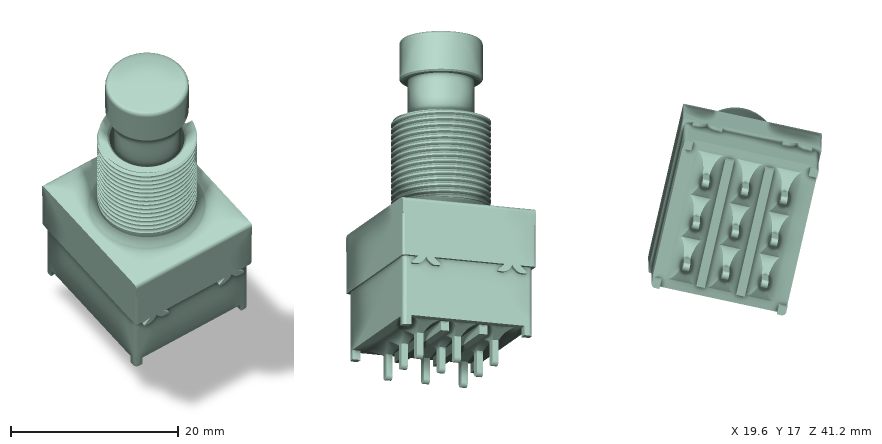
import cadquery as cq
import math


head_diameter = 10.0
head_height = 5.0
head_top_round = 0.5
head_bottom_chamfer = 0.2
stem_diameter = 8.0
button_top = 22.5

thread_diameter = 12.0
thread_pitch = 0.75
thread_depth = 0.35
thread_crest = 0.2
thread_root = 0.15
thread_start = 1.4
thread_start_angle = 215.0
bushing_height = 12.5
bushing_bore = 9.0
bore_chamfer = 0.25
shoulder_diameter = 12.0
shoulder_height = 1.55
flare_height = 1.0
flare_reach = 1.0
flare_sag = 0.1
keyway_width = 2.0
keyway_depth = 1.0

bracket_length = 19.6
bracket_width = 17.0
sheet = 0.5
skirt_depth = 2.0
strap_width = 2.0
strap_offset = 5.5
hook_drop = 0.95
hook_half_width = 1.8
hook_tip_height = 0.2
hook_foot_start = 1.0
hook_notch_sag = 0.15

upper_bottom = -7.2
upper_corner_round = 0.3
lower_length = bracket_length - 2 * sheet
lower_width = 16.5
lower_bottom = -14.5
lower_corner_round = 0.5
foot_size = 1.05
foot_height = 1.15
rail_length = 16.0
rail_offset = 2.45

pin_bottom = -18.7
pin_width = 1.0
pin_thickness = 0.8
pin_tip_round = 0.499 * pin_width
pin_spacing_x = 5.3
pin_spacing_y = 4.8
pin_count = 3
collar_height = 1.1
collar_half_length = 2.85
collar_half_width = 1.6
collar_sag_x = 0.02
collar_sag_y = 0.25


def block(length, width, bottom, top):
    """Box centred on the Z axis between two heights."""
    return (
        cq.Workplane("XY")
        .workplane(offset=bottom)
        .rect(length, width)
        .extrude(top - bottom)
    )


def disc(diameter, bottom, top):
    """Cylinder on the Z axis between two heights."""
    return cq.Workplane("XY").workplane(offset=bottom).circle(diameter / 2).extrude(top - bottom)


def sagged_midpoint(start, end, sag):
    """Middle of a shallow arc that bends away from its chord, to the left going from start to end."""
    run = end[0] - start[0]
    rise = end[1] - start[1]
    chord = math.hypot(run, rise)
    return (
        (start[0] + end[0]) / 2 - sag * rise / chord,
        (start[1] + end[1]) / 2 + sag * run / chord,
    )


def make_button():
    """Head on a plain stem that reaches down to the bracket plate."""
    head = disc(head_diameter, button_top - head_height, button_top)
    head = head.faces(">Z").edges().fillet(head_top_round)
    head = head.faces("<Z").edges().chamfer(head_bottom_chamfer)
    stem = disc(stem_diameter, 0, button_top - head_height)
    return head.union(stem)


def make_thread_ridge():
    """Right-hand helical ridge with a flat crest, sunk slightly into the bushing core."""
    crest = thread_diameter / 2
    root = crest - thread_depth
    embed = 0.1
    half_crest = thread_crest / 2
    half_base = (thread_pitch - thread_root) / 2
    flank_slope = (half_base - half_crest) / thread_depth
    half_sunk = half_base + flank_slope * embed
    helix = cq.Wire.makeHelix(thread_pitch, bushing_height - thread_start + thread_pitch, crest)
    ridge = (
        cq.Workplane("XZ")
        .moveTo(root - embed, -half_sunk)
        .lineTo(root - embed, half_sunk)
        .lineTo(crest, half_crest)
        .lineTo(crest, -half_crest)
        .close()
        .sweep(cq.Workplane(obj=helix), isFrenet=True)
    )
    ridge = ridge.rotate((0, 0, 0), (0, 0, 1), thread_start_angle)
    ridge = ridge.translate((0, 0, thread_start))
    envelope = disc(thread_diameter + 2 * embed, shoulder_height, bushing_height)
    return ridge.intersect(envelope)


def make_bushing():
    """Threaded, flared and bored bushing with a keyway on its +Y side."""
    radius = thread_diameter / 2
    root = radius - thread_depth
    flare_foot = (radius + flare_reach, 0)
    flare_top = (shoulder_diameter / 2, flare_height)
    body = (
        cq.Workplane("XZ")
        .lineTo(*flare_foot)
        .threePointArc(sagged_midpoint(flare_foot, flare_top, flare_sag), flare_top)
        .lineTo(shoulder_diameter / 2, shoulder_height)
        .lineTo(root, shoulder_height)
        .lineTo(root, bushing_height)
        .lineTo(0, bushing_height)
        .close()
        .revolve(360, (0, 0, 0), (0, 1, 0))
    )
    body = body.union(make_thread_ridge(), clean=False)
    keyway = block(keyway_width, 2 * keyway_depth, flare_height, bushing_height)
    body = body.cut(keyway.translate((0, radius, 0)), clean=False)
    bore = disc(bushing_bore, 0, bushing_height)
    mouth = (
        cq.Workplane("XY")
        .workplane(offset=bushing_height)
        .circle(bushing_bore / 2 + bore_chamfer)
        .workplane(offset=-bore_chamfer)
        .circle(bushing_bore / 2)
        .loft()
    )
    return body.cut(bore, clean=False).cut(mouth, clean=False)


def make_strap(y_centre):
    """Side strap ending in a split, spread hook, on the +X side."""
    hook_bottom = upper_bottom - hook_drop
    hook_shoulder = hook_bottom + hook_tip_height
    half = strap_width / 2
    notch_end = (hook_foot_start, hook_bottom)
    notch_x, notch_z = sagged_midpoint(notch_end, (0, upper_bottom), hook_notch_sag)
    return (
        cq.Workplane("YZ")
        .workplane(offset=bracket_length / 2 - sheet)
        .center(y_centre, 0)
        .moveTo(-half, -skirt_depth)
        .lineTo(-half, upper_bottom)
        .lineTo(-hook_half_width, hook_shoulder)
        .lineTo(-hook_half_width, hook_bottom)
        .lineTo(-hook_foot_start, hook_bottom)
        .threePointArc((-notch_x, notch_z), (0, upper_bottom))
        .threePointArc((notch_x, notch_z), notch_end)
        .lineTo(hook_half_width, hook_bottom)
        .lineTo(hook_half_width, hook_shoulder)
        .lineTo(half, upper_bottom)
        .lineTo(half, -skirt_depth)
        .close()
        .extrude(sheet)
    )


def make_bracket():
    """Folded plate with a skirt and two hooked straps on each X side."""
    bracket = block(bracket_length, bracket_width, -skirt_depth, 0)
    bracket = bracket.faces(">Z").edges("|Y").fillet(sheet)
    bracket = bracket.cut(block(lower_length, bracket_width, -skirt_depth, -sheet))
    for y_centre in (-strap_offset, strap_offset):
        strap = make_strap(y_centre)
        bracket = bracket.union(strap)
        bracket = bracket.union(strap.mirror("YZ"))
    return bracket


def make_upper_housing(bracket):
    """Upper housing that fills the bracket and lies flush with its straps."""
    housing = block(bracket_length, bracket_width, upper_bottom, -sheet)
    housing = housing.edges("|Z").fillet(upper_corner_round)
    return housing.cut(bracket)


def make_lower_housing():
    """Lower housing with four corner feet and two rails underneath."""
    feet_bottom = lower_bottom - foot_height
    housing = block(lower_length, lower_width, feet_bottom, upper_bottom)
    housing = housing.edges("|Z").fillet(lower_corner_round)
    gap_length = lower_length - 2 * foot_size
    gap_width = lower_width - 2 * foot_size
    housing = housing.cut(block(gap_length, lower_width, feet_bottom, lower_bottom))
    housing = housing.cut(block(lower_length, gap_width, feet_bottom, lower_bottom))
    rail = block(rail_length, foot_size, feet_bottom, lower_bottom)
    for y in (-rail_offset, rail_offset):
        housing = housing.union(rail.translate((0, y, 0)))
    return housing


def collar_profile(plane, pin_half, half_span, sag, depth):
    """Concave collar outline that widens from the pin to the housing, extruded both ways."""
    pin_edge = (pin_half, lower_bottom - collar_height)
    rim = (half_span, lower_bottom)
    arc_x, arc_z = sagged_midpoint(pin_edge, rim, sag)
    return (
        cq.Workplane(plane)
        .moveTo(-half_span, lower_bottom)
        .threePointArc((-arc_x, arc_z), (-pin_half, lower_bottom - collar_height))
        .lineTo(*pin_edge)
        .threePointArc((arc_x, arc_z), rim)
        .close()
        .extrude(depth, both=True)
    )


def make_pin():
    """Flat round-ended pin with a concave sealing collar at its root."""
    blade = block(pin_width, pin_thickness, pin_bottom, lower_bottom)
    blade = blade.faces("<Z").edges("|Y").fillet(pin_tip_round)
    collar = collar_profile("XZ", pin_width / 2, collar_half_length, collar_sag_x, collar_half_width)
    across = collar_profile("YZ", pin_thickness / 2, collar_half_width, collar_sag_y, collar_half_length)
    return blade.union(collar.intersect(across))


def make_part():
    """Join all components; the faces of flush neighbours stay separate."""
    bracket = make_bracket()
    part = bracket.union(make_upper_housing(bracket), clean=False)
    part = part.union(make_lower_housing(), clean=False)
    part = part.union(make_bushing(), clean=False)
    part = part.union(make_button(), clean=False)
    pin = make_pin()
    middle = (pin_count - 1) / 2
    for column in range(pin_count):
        for row in range(pin_count):
            x = (column - middle) * pin_spacing_x
            y = (row - middle) * pin_spacing_y
            part = part.union(pin.translate((x, y, 0)), clean=False)
    return part


result = make_part()